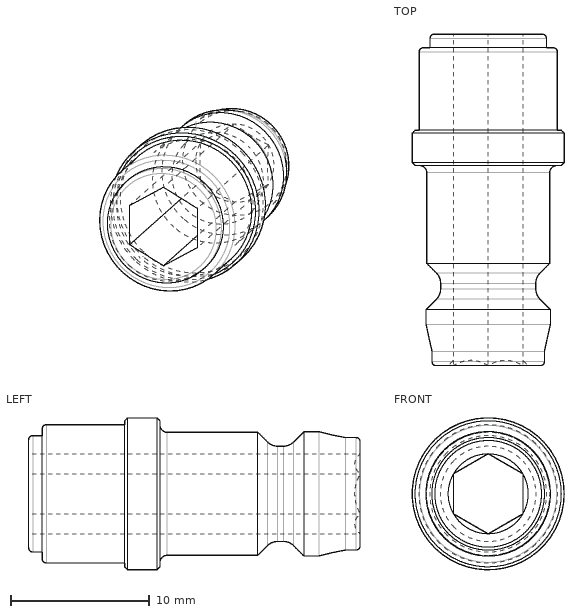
import cadquery as cq
import math

length = 23.97

nose_radius = 4.07
nose_face_radius = 3.85
bulge_radius = 4.5
groove_radius = 3.45
shaft_radius = 4.45
collar_radius = 11.0 / 2
body_radius = 5.0
end_radius = 4.22

nose_end = 1.03
bulge_start = 2.97
bulge_end = 4.05
collar_front = 14.45
collar_back = 17.02
body_end = 22.99

edge_round = 0.3
nose_round_length = 0.29
collar_chamfer = 0.22
root_fillet = 0.5

groove_blend = 1.05
groove_floor = 0.4
flank_angle = math.radians(45)

hex_flats = 5.0
hex_corners = hex_flats / math.cos(math.radians(30))
countersink_half_angle = math.radians(45)

blend_run = groove_blend * math.sin(flank_angle)
blend_rise = groove_blend * (1 - math.cos(flank_angle))
blend_mid_run = groove_blend * math.sin(flank_angle / 2)
blend_mid_rise = groove_blend * (1 - math.cos(flank_angle / 2))
blend_radius = groove_radius + blend_rise


def flank_length(outer_radius):
    """Axial length from the groove floor to the outer radius of a flank."""
    return blend_run + (outer_radius - blend_radius) / math.tan(flank_angle)


floor_start = bulge_end + flank_length(bulge_radius)
floor_end = floor_start + groove_floor
shaft_start = floor_end + flank_length(shaft_radius)


def rounded_corner(profile, radius, y, size):
    """Line to a convex rear-facing corner at (radius, y), rounded off."""
    mid = size * (1 - math.sqrt(0.5))
    return (
        profile.lineTo(radius, y - size)
        .threePointArc((radius - mid, y - mid), (radius - size, y))
    )


def turned_body():
    nose_drop = nose_radius - nose_face_radius
    nose_sweep = 2 * math.atan(nose_drop / nose_round_length)
    nose_round = nose_round_length / math.sin(nose_sweep)
    nose_round_middle = (
        nose_radius - nose_round * (1 - math.cos(nose_sweep / 2)),
        nose_round_length - nose_round * math.sin(nose_sweep / 2),
    )
    fillet_mid = root_fillet * (1 - math.sqrt(0.5))
    profile = (
        cq.Workplane("XY")
        .lineTo(nose_face_radius, 0)
        .threePointArc(nose_round_middle, (nose_radius, nose_round_length))
        .lineTo(nose_radius, nose_end)
        .lineTo(bulge_radius, bulge_start)
        .lineTo(bulge_radius, bulge_end)
        .lineTo(blend_radius, floor_start - blend_run)
        .threePointArc(
            (groove_radius + blend_mid_rise, floor_start - blend_mid_run),
            (groove_radius, floor_start),
        )
        .lineTo(groove_radius, floor_end)
        .threePointArc(
            (groove_radius + blend_mid_rise, floor_end + blend_mid_run),
            (blend_radius, floor_end + blend_run),
        )
        .lineTo(shaft_radius, shaft_start)
        .lineTo(shaft_radius, collar_front - root_fillet)
        .threePointArc(
            (shaft_radius + fillet_mid, collar_front - fillet_mid),
            (shaft_radius + root_fillet, collar_front),
        )
        .lineTo(collar_radius - collar_chamfer, collar_front)
        .lineTo(collar_radius, collar_front + collar_chamfer)
        .lineTo(collar_radius, collar_back - collar_chamfer)
        .lineTo(collar_radius - collar_chamfer, collar_back)
        .lineTo(body_radius, collar_back)
    )
    profile = rounded_corner(profile, body_radius, body_end, edge_round)
    profile = profile.lineTo(end_radius, body_end)
    profile = rounded_corner(profile, end_radius, length, edge_round)
    return profile.lineTo(0, length).close().revolve(360, (0, 0, 0), (0, 1, 0))


def hex_bore():
    return (
        cq.Workplane("XZ")
        .transformed(rotate=(0, 0, 90))
        .polygon(6, hex_corners)
        .extrude(-length)
    )


def countersink():
    mouth_radius = hex_corners / 2
    depth = mouth_radius / math.tan(countersink_half_angle)
    return (
        cq.Workplane("XY")
        .lineTo(mouth_radius, 0)
        .lineTo(0, depth)
        .close()
        .revolve(360, (0, 0, 0), (0, 1, 0))
    )


result = turned_body().cut(hex_bore()).cut(countersink())